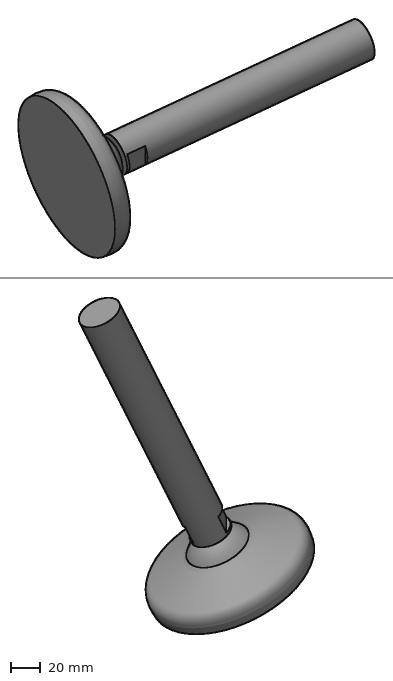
import cadquery as cq
import math

foot_radius = 60.0
rim_height = 6.0
rim_band_height = 2.7
rim_taper_angle = 5.5
shoulder_radius = 8.0
cone_angle = 20.0
cone_top_height = 26.0
collar_height = 1.5
ball_radius = 27.0
ball_centre_height = 13.0

stud_diameter = 30.0
stud_start = 39.0
stud_length = 200.0
flat_width = 24.0
flat_start = 41.0
flat_length = 14.5


def arc_point(centre, radius, angle):
    """Point on an arc, the angle in degrees above the horizontal."""
    turn = math.radians(angle)
    return (centre[0] + radius * math.cos(turn), centre[1] + radius * math.sin(turn))


def ball_point(height):
    """Point on the ball's outline at a given height."""
    return (math.sqrt(ball_radius**2 - (height - ball_centre_height) ** 2), height)


def make_foot():
    """Turned foot: tapered edge, rounded shoulder, cone and ball-shaped crown."""
    taper = math.tan(math.radians(rim_taper_angle))
    sole_radius = foot_radius - rim_height * taper
    band_top = (foot_radius - rim_band_height * taper, rim_height + rim_band_height)

    shoulder_end_angle = 90 - cone_angle
    shoulder_middle_angle = (rim_taper_angle + shoulder_end_angle) / 2
    shoulder_centre = arc_point(band_top, -shoulder_radius, rim_taper_angle)
    shoulder_middle = arc_point(shoulder_centre, shoulder_radius, shoulder_middle_angle)
    shoulder_end = arc_point(shoulder_centre, shoulder_radius, shoulder_end_angle)

    cone_rise = cone_top_height - shoulder_end[1]
    cone_top_radius = shoulder_end[0] - cone_rise / math.tan(math.radians(cone_angle))

    ball_base_height = cone_top_height + collar_height
    ball_top_height = ball_centre_height + ball_radius
    ball_middle_height = (ball_base_height + ball_top_height) / 2

    return (
        cq.Workplane("XY")
        .lineTo(sole_radius, 0)
        .lineTo(foot_radius, rim_height)
        .lineTo(*band_top)
        .threePointArc(shoulder_middle, shoulder_end)
        .lineTo(cone_top_radius, cone_top_height)
        .lineTo(*ball_point(ball_base_height))
        .threePointArc(ball_point(ball_middle_height), (0, ball_top_height))
        .close()
        .revolve(360, (0, 0), (0, 1))
    )


def make_stud():
    """Round stud with two opposite wrench flats facing -X and +X."""
    stud_radius = stud_diameter / 2
    stud = cq.Workplane("XZ", origin=(0, stud_start, 0)).circle(stud_radius).extrude(-stud_length)
    flat_depth = (stud_diameter - flat_width) / 2
    for side in (-1, 1):
        cutter_centre = (side * (flat_width + flat_depth) / 2, flat_start + flat_length / 2, 0)
        cutter = cq.Workplane("XY").box(flat_depth, flat_length, stud_diameter).translate(cutter_centre)
        stud = stud.cut(cutter)
    return stud


result = make_foot().union(make_stud())